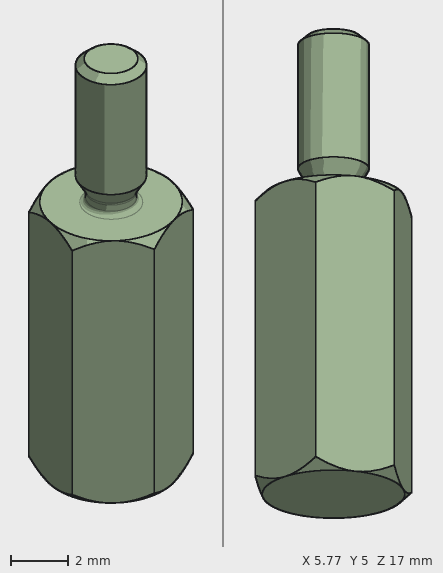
import cadquery as cq
import math

across_flats = 5.0
across_corners = across_flats / math.cos(math.pi / 6)
body_length = 11.0
total_length = 17
corner_chamfer = (across_corners - across_flats) / 2

stud_radius = 2.5 / 2
neck_radius = 1.8 / 2
tip_chamfer_width = 0.3
tip_chamfer_height = 0.27
neck_fillet = 0.2
neck_top = body_length + 0.46
taper_angle = math.radians(30)

taper_start_radius = neck_radius + neck_fillet * (1 - math.cos(taper_angle))
taper_start = neck_top + neck_fillet * math.sin(taper_angle)
taper_top = taper_start + (stud_radius - taper_start_radius) / math.tan(taper_angle)


def make_body():
    """Hexagonal prism whose corners are turned down to a cone at both ends."""
    prism = cq.Workplane("XY").polygon(6, across_corners).extrude(body_length)
    flat_radius = across_flats / 2
    corner_radius = across_corners / 2
    turned_envelope = (
        cq.Workplane("XZ")
        .moveTo(0, 0)
        .lineTo(flat_radius, 0)
        .lineTo(corner_radius, corner_chamfer)
        .lineTo(corner_radius, body_length - corner_chamfer)
        .lineTo(flat_radius, body_length)
        .lineTo(0, body_length)
        .close()
        .revolve(360, (0, 0, 0), (0, 1, 0))
    )
    return prism.intersect(turned_envelope)


def make_stud():
    """Turned stud: filleted neck, taper up to full diameter, chamfered tip."""
    return (
        cq.Workplane("XZ")
        .moveTo(0, body_length)
        .lineTo(neck_radius + neck_fillet, body_length)
        .radiusArc((neck_radius, body_length + neck_fillet), neck_fillet)
        .lineTo(neck_radius, neck_top)
        .radiusArc((taper_start_radius, taper_start), neck_fillet)
        .lineTo(stud_radius, taper_top)
        .lineTo(stud_radius, total_length - tip_chamfer_height)
        .lineTo(stud_radius - tip_chamfer_width, total_length)
        .lineTo(0, total_length)
        .close()
        .revolve(360, (0, 0, 0), (0, 1, 0))
    )


result = make_body().union(make_stud())